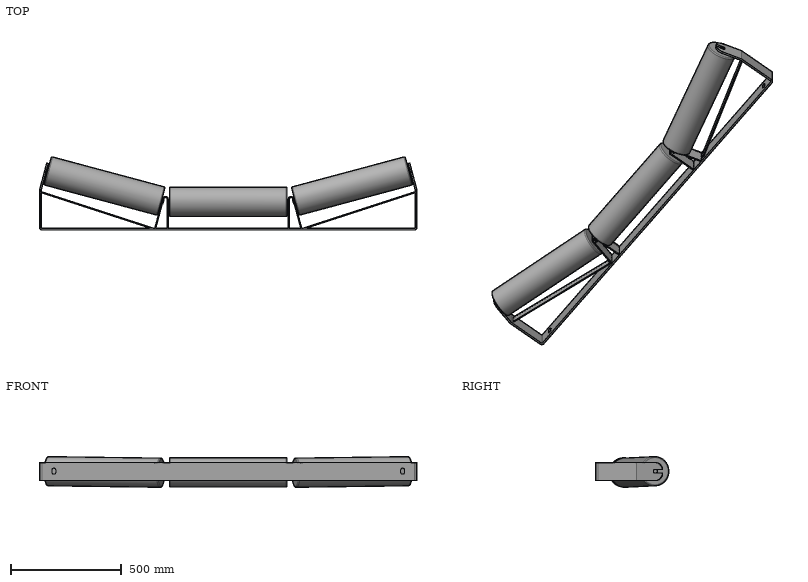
import cadquery as cq
import math


frame_length = 1700.0
strip_width = 82.0
strip_thickness = 8.0
corner_radius = 12.0
bend_height = 184.0
tip_height = 303.0
tip_radius = 34.0
trough_angle = 15.0

mount_slot_offset = 785.0
mount_slot_rise = 2.0
mount_slot_width = 17.0
mount_slot_height = 27.0

roller_diameter = 133.0
roller_length = 530.0
roller_edge_radius = 5.0

centre_roller_height = 128.0
centre_roller_drop = 3.0
wing_roller_offset = 558.0
wing_roller_height = 199.0
wing_roller_drop = 2.0
wing_rise = 7.0

shaft_diameter = 20.0
shaft_flat_width = 17.0
shaft_length = 550.0
shaft_slot_reach = 578.0

bracket_thickness = 5.0
bracket_height = 151.0
bracket_leg_offset = 270.0
bracket_foot_offset = 332.0
bracket_bend_radius = 12.0

strut_thickness = 5.0
strut_width = 40.0
strut_foot_offset = 335.0
strut_top_height = 173.0

half_frame = frame_length / 2
half_roller = roller_length / 2
angle = math.radians(trough_angle)
rise_angle = math.degrees(math.asin(wing_rise / roller_length))


def extrude_strip(outline, width):
    """Extrude a closed XY outline to the given width, centred on Z = 0."""
    return outline.extrude(width).translate((0, 0, -width / 2))


def cylinder_along_x(diameter, length):
    """Cylinder along the X axis, centred on the origin."""
    return cq.Workplane("YZ").workplane(offset=-length / 2).circle(diameter / 2).extrude(length)


def mirrored(body):
    """The matching body on the other side of X = 0."""
    return body.mirror("YZ")


def place_wing(body):
    """Move a body built along the X axis to the -X wing roller position."""
    return (
        body.rotate((0, 0, 0), (0, 1, 0), rise_angle)
        .rotate((0, 0, 0), (0, 0, 1), -trough_angle)
        .translate((-wing_roller_offset, wing_roller_height, -wing_roller_drop))
    )


def place_centre(body):
    """Move a body built along the X axis to the centre roller position."""
    return body.translate((0, centre_roller_height, -centre_roller_drop))


def flattened_bar(length):
    """Round bar along X with two flats facing +Z and -Z."""
    flats = cq.Workplane("XY").box(length, shaft_diameter, shaft_flat_width)
    return cylinder_along_x(shaft_diameter, length).intersect(flats)


def make_roller():
    """Roller with rounded ends and its shaft, as one body centred on the origin."""
    shell = cylinder_along_x(roller_diameter, roller_length).edges().fillet(roller_edge_radius)
    return shell.union(flattened_bar(shaft_length))


def make_shaft_slot():
    """Cutter for the slots at both ends of a shaft: seated on its flats, open toward +Y."""
    channel = cq.Workplane("XY").box(
        shaft_slot_reach, strip_width, shaft_flat_width, centered=(True, False, True)
    )
    middle = cq.Workplane("XY").box(roller_length, 2 * strip_width, strip_width)
    return channel.union(flattened_bar(shaft_slot_reach)).cut(middle)


def make_frame():
    """Base strip with end plates that lean inward above a bend."""
    tip_x = half_frame - (tip_height - bend_height) * math.tan(angle)
    inner_x = half_frame - strip_thickness
    inner_bend_height = bend_height - strip_thickness * math.tan(angle / 2)
    inner_tip = (tip_x - strip_thickness * math.cos(angle), tip_height - strip_thickness * math.sin(angle))
    right_side = [
        (half_frame, 0),
        (half_frame, bend_height),
        (tip_x, tip_height),
        inner_tip,
        (inner_x, inner_bend_height),
        (inner_x, strip_thickness),
    ]
    left_side = [(-x, y) for x, y in reversed(right_side)]
    frame = extrude_strip(cq.Workplane("XY").polyline(right_side + left_side).close(), strip_width)

    inner_corners = cq.selectors.BoxSelector(
        (-half_frame, strip_thickness / 2, -strip_width),
        (half_frame, 2 * strip_thickness, strip_width),
    )
    frame = frame.edges("|Z and <Y").fillet(corner_radius)
    frame = frame.edges("|Z").edges(inner_corners).fillet(corner_radius - strip_thickness)

    for side in (-1, 1):
        plate_normal = cq.Vector(math.cos(angle), side * math.sin(angle), 0)
        frame = frame.edges(cq.selectors.ParallelDirSelector(plate_normal)).fillet(tip_radius)

    mount_slots = (
        cq.Workplane("XZ")
        .pushPoints([(side * mount_slot_offset, mount_slot_rise) for side in (-1, 1)])
        .slot2D(mount_slot_height, mount_slot_width, 90)
        .extrude(-strip_thickness)
    )
    shaft_slot = place_wing(make_shaft_slot())
    return frame.cut(mount_slots).cut(shaft_slot).cut(mirrored(shaft_slot))


def bracket_profile(leg_x, foot_x, top):
    """Four corners of a bracket side: up the upright leg and down the leaning leg."""
    fold_x = foot_x + (top - strip_thickness) * math.tan(angle)
    return [(leg_x, strip_thickness), (leg_x, top), (fold_x, top), (foot_x, strip_thickness)]


def make_bracket():
    """Folded strip: an upright leg by the centre roller and a leg square to the wing roller."""
    outer = bracket_profile(-bracket_leg_offset, -bracket_foot_offset, bracket_height)
    inner = bracket_profile(
        -bracket_leg_offset - bracket_thickness,
        -bracket_foot_offset + bracket_thickness / math.cos(angle),
        bracket_height - bracket_thickness,
    )
    solid = extrude_strip(cq.Workplane("XY").polyline(outer).close(), strip_width)
    hollow = extrude_strip(cq.Workplane("XY").polyline(inner).close(), strip_width)
    solid = solid.edges("|Z and >Y").fillet(bracket_bend_radius)
    hollow = hollow.edges("|Z and >Y").fillet(bracket_bend_radius - bracket_thickness)
    shaft_slot = make_shaft_slot()
    return solid.cut(hollow).cut(place_wing(shaft_slot)).cut(place_centre(shaft_slot))


def make_strut():
    """Flat brace from the end plate down to the base strip."""
    top_x = strip_thickness - half_frame
    foot_x = -strut_foot_offset
    slope = math.atan2(strut_top_height - strip_thickness, foot_x - top_x)
    outline = [
        (top_x, strut_top_height),
        (foot_x, strip_thickness),
        (foot_x - strut_thickness / math.sin(slope), strip_thickness),
        (top_x, strut_top_height - strut_thickness / math.cos(slope)),
    ]
    return extrude_strip(cq.Workplane("XY").polyline(outline).close(), strut_width)


frame = make_frame()
centre_roller = place_centre(make_roller())
wing_roller = place_wing(make_roller())
bracket = make_bracket()
strut = make_strut()

solids = [frame.val(), centre_roller.val()]
for body in (wing_roller, bracket, strut):
    solids.append(body.val())
    solids.append(mirrored(body).val())

result = cq.Compound.makeCompound(solids)